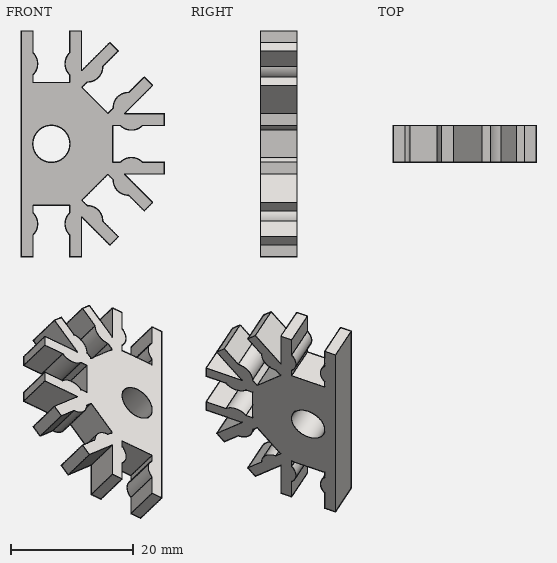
import cadquery as cq
import math

thickness = 6.0
reach = 18.4
slot_width = 5.95
prong_width = 1.95
slot_floor = 10.0
hole_diameter = 6.0
bump_distance = 13.0
bump_radius = 2.5
bump_height = 0.77
arm_angles = [-90, -45, 0, 45, 90]

half_slot = slot_width / 2
arm_width = slot_width + 2 * prong_width
half_chord = math.sqrt(bump_radius**2 - (bump_radius - bump_height) ** 2)
bump_start = bump_distance - half_chord
bump_end = bump_distance + half_chord
half_neck = half_slot - bump_height


def arm():
    """Solid block running from the hole centre to the prong tips along +X."""
    return cq.Workplane("XZ").center(reach / 2, 0).rect(reach, arm_width).extrude(thickness / 2, both=True)


def clip_slot():
    """Slot along +X, open at the tips, narrowed by a round bump on each side."""
    return (
        cq.Workplane("XZ")
        .moveTo(slot_floor, -half_slot)
        .lineTo(bump_start, -half_slot)
        .threePointArc((bump_distance, -half_neck), (bump_end, -half_slot))
        .lineTo(reach, -half_slot)
        .lineTo(reach, half_slot)
        .lineTo(bump_end, half_slot)
        .threePointArc((bump_distance, half_neck), (bump_start, half_slot))
        .lineTo(slot_floor, half_slot)
        .close()
        .extrude(thickness / 2, both=True)
    )


def turned(shape, angle):
    """Turn a shape about the hole axis."""
    return shape.rotate((0, 0, 0), (0, 1, 0), angle)


back_block = cq.Workplane("XY").box(arm_width, thickness, arm_width)

body = back_block
for angle in arm_angles:
    body = body.union(turned(arm(), angle))
for angle in arm_angles:
    body = body.cut(turned(clip_slot(), angle))

hole = cq.Workplane("XZ").circle(hole_diameter / 2).extrude(thickness / 2, both=True)
result = body.cut(hole).clean()